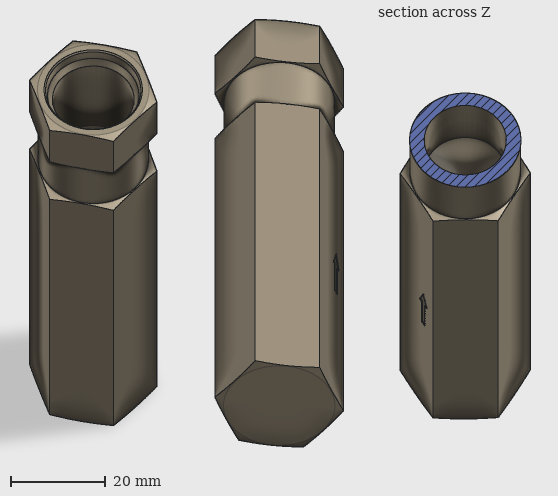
import cadquery as cq
import math

length = 103.9
half_corner_angle = 30.0
across_corners = 27.5
across_flats = across_corners * math.cos(math.radians(half_corner_angle))

chamfer_face_diameter = 23.6
chamfer_angle = 15.0
chamfer_overreach = 1.0

neck_diameter = 23.4
nut_height = 12.4
neck_length = 12.6
nut_bottom = length - nut_height
body_top = nut_bottom - neck_length

mouth_diameter = 20.8
mouth_chamfer = 0.3
seat_top_diameter = 19.3
seat_top_depth = 2.1
bore_diameter = 17.2
seat_bottom_depth = 3.4
bore_depth = 24.9
drill_point_angle = 118.0

arrow_bottom = 32.2
arrow_top = 43.8
arrow_head_length = 3.7
arrow_head_width = 2.9
arrow_shaft_width = 1.4
arrow_center_y = -2.7
arrow_depth = 0.2


def chamfered_hexagon(bottom, top):
    """Hexagonal prism with corners on +/-Y and conical chamfers at both ends."""
    height = top - bottom
    prism = (
        cq.Workplane("XY", origin=(0, 0, bottom))
        .polygon(6, across_corners)
        .extrude(height)
        .rotate((0, 0, 0), (0, 0, 1), half_corner_angle)
    )
    face_radius = chamfer_face_diameter / 2
    outer_radius = across_corners / 2 + chamfer_overreach
    drop = (outer_radius - face_radius) * math.tan(math.radians(chamfer_angle))
    envelope = (
        cq.Workplane("XZ")
        .moveTo(0, bottom)
        .lineTo(face_radius, bottom)
        .lineTo(outer_radius, bottom + drop)
        .lineTo(outer_radius, top - drop)
        .lineTo(face_radius, top)
        .lineTo(0, top)
        .close()
        .revolve(360, (0, 0, 0), (0, 1, 0))
    )
    return prism.intersect(envelope)


def neck():
    return (
        cq.Workplane("XY", origin=(0, 0, body_top))
        .circle(neck_diameter / 2)
        .extrude(neck_length)
    )


def bore():
    """Chamfered mouth, conical seat and a blind hole with a drill point."""
    mouth_radius = mouth_diameter / 2
    bore_radius = bore_diameter / 2
    point_length = bore_radius / math.tan(math.radians(drill_point_angle / 2))
    return (
        cq.Workplane("XZ")
        .moveTo(0, length)
        .lineTo(mouth_radius, length)
        .lineTo(mouth_radius - mouth_chamfer, length - mouth_chamfer)
        .lineTo(seat_top_diameter / 2, length - seat_top_depth)
        .lineTo(bore_radius, length - seat_bottom_depth)
        .lineTo(bore_radius, length - bore_depth)
        .lineTo(0, length - bore_depth - point_length)
        .close()
        .revolve(360, (0, 0, 0), (0, 1, 0))
    )


def arrow():
    half_shaft = arrow_shaft_width / 2
    half_head = arrow_head_width / 2
    head_bottom = arrow_top - arrow_head_length
    return (
        cq.Workplane("YZ", origin=(-across_flats / 2, arrow_center_y, 0))
        .moveTo(-half_shaft, arrow_bottom)
        .lineTo(half_shaft, arrow_bottom)
        .lineTo(half_shaft, head_bottom)
        .lineTo(half_head, head_bottom)
        .lineTo(0, arrow_top)
        .lineTo(-half_head, head_bottom)
        .lineTo(-half_shaft, head_bottom)
        .close()
        .extrude(arrow_depth)
    )


body = chamfered_hexagon(0, body_top)
nut = chamfered_hexagon(nut_bottom, length)
result = body.union(neck()).union(nut).cut(bore()).cut(arrow())